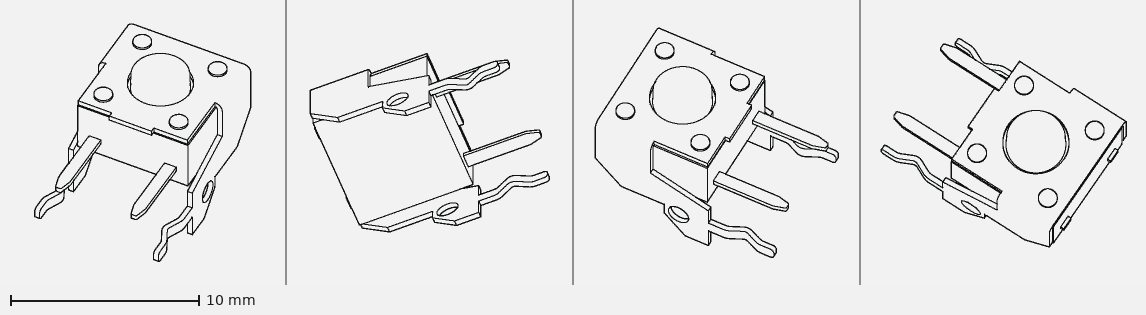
import cadquery as cq
import math


body_width = 6.6
body_height = 3.01
body_front = -3.21
body_back = 3.31

sheet = 0.3
bracket_width = 7.4
cover_gap = 0.09
cover_bottom = body_height + cover_gap
cover_top = cover_bottom + sheet
bend_radius = 0.44
bend_front = -0.01
tab_width = 2.53
bracket_front = -3.49

wing_bottom = -3.2
wing_notch_z = 1.09
wing_front_z = -0.11
wing_belly_z = -1.2
wing_back_chamfer = 1.57
foot_back = -0.84
foot_chamfer = 1.26
wing_hole_diameter = 1.21
wing_hole_y = -1.69
wing_hole_z = -1.56

leg_height = 0.7
leg_end = -7.41
leg_end_radius = 0.22
leg_overlap = 0.11
kink_center = -5.51
kink_half_length = 0.94
kink_depth = 0.44
kink_base_radius = 0.9
kink_peak_radius = 0.32

button_top = 4.1
button_base_diameter = 3.19
button_top_diameter = 3.14
button_fillet = 0.09
button_hole_diameter = 3.52

peg_pitch = 4.51
peg_shank_diameter = 0.81
peg_head_diameter = 1.01
peg_rim_height = 0.12
peg_top = 3.81

pin_pitch = 4.51
pin_width = 0.7
pin_bottom = 0.8
pin_thickness = 0.29
pin_tip = -7.49
pin_back = 3.51
pin_taper_start = -6.79
pin_tip_width = 0.33
pin_tip_radius = 0.1


def box(x0, x1, y0, y1, z0, z1):
    """Axis-aligned block between two corners."""
    return cq.Workplane("XY").box(x1 - x0, y1 - y0, z1 - z0, centered=False).translate((x0, y0, z0))


def make_body():
    half = body_width / 2
    return box(-half, half, body_front, body_back, 0, body_height)


def make_cover():
    """Flat top of the bracket with its front tab and the button hole."""
    half = bracket_width / 2 - bend_radius
    cover = box(-half, half, body_front, body_back, cover_bottom, cover_top)
    tab = box(-tab_width / 2, tab_width / 2, bracket_front, body_front, cover_bottom, cover_top)
    hole = cq.Workplane("XY").workplane(offset=cover_bottom).circle(button_hole_diameter / 2).extrude(sheet)
    return cover.union(tab).cut(hole)


def make_bend():
    """Quarter-round bend joining the cover to the left wing."""
    center_x = -bracket_width / 2 + bend_radius
    center_z = cover_top - bend_radius
    length = body_back - bend_front
    ring = (
        cq.Workplane("XZ", origin=(center_x, body_back, center_z))
        .circle(bend_radius)
        .circle(bend_radius - sheet)
        .extrude(length)
    )
    quadrant = box(center_x - bend_radius, center_x, bend_front, body_back, center_z, cover_top)
    return ring.intersect(quadrant)


def make_wing():
    """Left side wall of the bracket, hanging down to the foot with its round hole."""
    outline = [
        (body_back, cover_top - bend_radius),
        (bend_front, cover_top - bend_radius),
        (bend_front, wing_notch_z),
        (bracket_front, wing_front_z),
        (bracket_front, wing_bottom),
        (foot_back - foot_chamfer, wing_bottom),
        (foot_back, wing_bottom + foot_chamfer),
        (foot_back, wing_belly_z),
        (body_back - wing_back_chamfer, wing_belly_z),
        (body_back, wing_belly_z + wing_back_chamfer),
    ]
    plane = cq.Workplane("YZ", origin=(-bracket_width / 2, 0, 0))
    wing = plane.polyline(outline).close().extrude(sheet)
    hole = plane.center(wing_hole_y, wing_hole_z).circle(wing_hole_diameter / 2).extrude(sheet)
    return wing.cut(hole)


def make_leg():
    """Left leg: a strip kinked toward the middle of the part, with a rounded end."""
    outer_x = -bracket_width / 2
    inner_x = outer_x + sheet
    kink_angle = math.atan2(kink_depth, kink_half_length)
    miter = sheet * math.tan(kink_angle / 2)
    inner_half_length = kink_half_length + miter
    peak_rise = sheet / math.cos(kink_angle)
    start = bracket_front + leg_overlap
    middle_z = wing_belly_z - leg_height / 2

    outer_bends = [
        (outer_x, kink_center + kink_half_length, kink_base_radius),
        (outer_x + kink_depth, kink_center, kink_peak_radius),
        (outer_x, kink_center - kink_half_length, kink_base_radius),
    ]
    inner_bends = [
        (inner_x, kink_center - inner_half_length, kink_base_radius - sheet),
        (outer_x + kink_depth + peak_rise, kink_center, kink_peak_radius + sheet),
        (inner_x, kink_center + inner_half_length, kink_base_radius - sheet),
    ]
    outline = [(outer_x, start)]
    outline += [(x, y) for x, y, _ in outer_bends]
    outline += [(outer_x, leg_end), (inner_x, leg_end)]
    outline += [(x, y) for x, y, _ in inner_bends]
    outline += [(inner_x, start)]

    leg = (
        cq.Workplane("XY", origin=(0, 0, wing_belly_z - leg_height))
        .polyline(outline)
        .close()
        .extrude(leg_height)
    )
    for x, y, radius in outer_bends + inner_bends:
        leg = leg.edges(cq.selectors.NearestToPointSelector((x, y, middle_z))).fillet(radius)
    return leg.faces("<Y").edges("|X").fillet(leg_end_radius)


def make_button():
    """Slightly tapered round button standing on the body."""
    profile = [
        (0, body_height),
        (button_base_diameter / 2, body_height),
        (button_top_diameter / 2, button_top),
        (0, button_top),
    ]
    button = cq.Workplane("XZ").polyline(profile).close().revolve(360, (0, 0), (0, 1))
    return button.faces(">Z").edges().fillet(button_fillet)


def make_peg():
    """Peg with a domed head that holds the cover to the body."""
    shank_radius = peg_shank_diameter / 2
    head_radius = peg_head_diameter / 2
    rim_z = cover_top + peg_rim_height
    dome_height = peg_top - rim_z
    dome_radius = (head_radius**2 + dome_height**2) / (2 * dome_height)
    half_angle = math.asin(head_radius / dome_radius) / 2
    dome_middle = (
        dome_radius * math.sin(half_angle),
        peg_top - dome_radius * (1 - math.cos(half_angle)),
    )
    return (
        cq.Workplane("XZ")
        .moveTo(0, body_height)
        .lineTo(shank_radius, body_height)
        .lineTo(shank_radius, cover_top)
        .lineTo(head_radius, cover_top)
        .lineTo(head_radius, rim_z)
        .threePointArc(dome_middle, (0, peg_top))
        .close()
        .revolve(360, (0, 0), (0, 1))
    )


def make_pin():
    """Flat terminal pin passing through the body, tapered at the front."""
    half = pin_width / 2
    tip_half = pin_tip_width / 2
    outline = [
        (-half, pin_back),
        (-half, pin_taper_start),
        (-tip_half, pin_tip),
        (tip_half, pin_tip),
        (half, pin_taper_start),
        (half, pin_back),
    ]
    pin = cq.Workplane("XY", origin=(0, 0, pin_bottom)).polyline(outline).close().extrude(pin_thickness)
    return pin.faces("<Y").edges("|Z").fillet(pin_tip_radius)


left_side = make_bend().union(make_wing()).union(make_leg())
bracket = make_cover().union(left_side).union(left_side.mirror("YZ"))

result = make_body().union(make_button()).union(bracket)

for side in (-1, 1):
    result = result.union(make_pin().translate((side * pin_pitch / 2, 0, 0)))
    for end in (-1, 1):
        result = result.union(make_peg().translate((side * peg_pitch / 2, end * peg_pitch / 2, 0)))